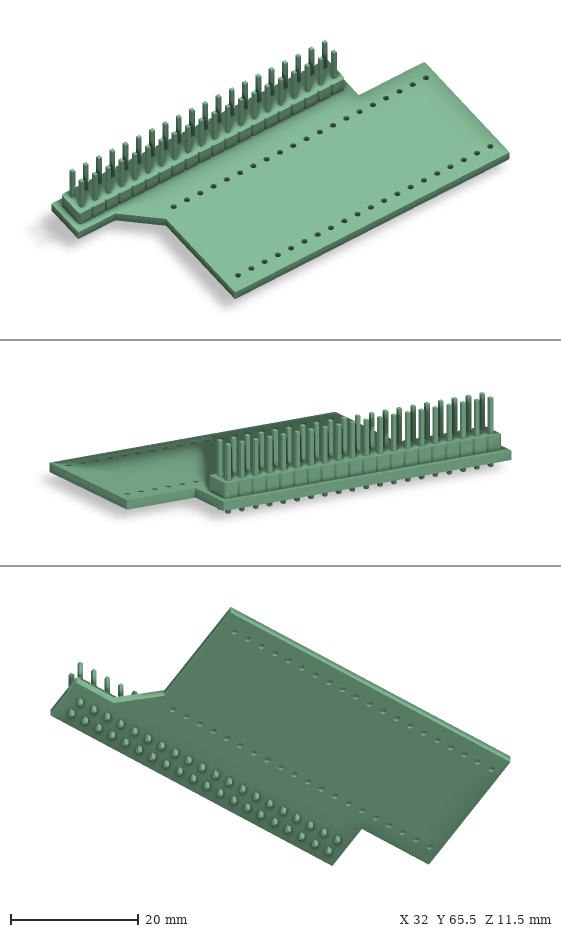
import cadquery as cq

BOARD_WIDTH = 32.0
BOARD_LENGTH = 65.5
BOARD_THICKNESS = 1.6
PANEL_LEFT = 8.5
PANEL_FRONT = 13.0
STRIP_WIDTH = 7.45
STRIP_LENGTH = 52.9
SLOPE_WIDTH = 5.5
SLOPE_LENGTH = 5.9

ROW_COUNT = 20
ROW_SPAN = 48.3
PITCH = ROW_SPAN / (ROW_COUNT - 1)

HOLE_DIAMETER = 1.0
HOLE_COLUMN_COUNT = 2
HOLE_COLUMN_X = 11.45
HOLE_COLUMN_SPACING = 7 * PITCH
FIRST_HOLE_Y = 15.45

COLUMN_COUNT = 2
HEADER_X = STRIP_WIDTH / 2
HEADER_Y = STRIP_LENGTH / 2
HOUSING_HEIGHT = PITCH
CELL_CHAMFER = 0.25
PIN_WIDTH = 0.65
PIN_TIP_CHAMFER = 0.1
PIN_BELOW_BOARD = 1.4
PIN_ABOVE_HOUSING = 6.0
PIN_BOTTOM = -PIN_BELOW_BOARD
PIN_TOP = BOARD_THICKNESS + HOUSING_HEIGHT + PIN_ABOVE_HOUSING


def pin_positions(workplane):
    """Place the work points of the header pins on a workplane."""
    return workplane.center(HEADER_X, HEADER_Y).rarray(PITCH, PITCH, COLUMN_COUNT, ROW_COUNT)


def make_board():
    """Stepped board with round panel holes and square pin holes."""
    outline = [
        (0, 0),
        (STRIP_WIDTH, 0),
        (STRIP_WIDTH, PANEL_FRONT - SLOPE_LENGTH),
        (STRIP_WIDTH + SLOPE_WIDTH, PANEL_FRONT),
        (BOARD_WIDTH, PANEL_FRONT),
        (BOARD_WIDTH, BOARD_LENGTH),
        (PANEL_LEFT, BOARD_LENGTH),
        (PANEL_LEFT, STRIP_LENGTH),
        (0, STRIP_LENGTH),
    ]
    plate = cq.Workplane("XY").polyline(outline).close().extrude(BOARD_THICKNESS)
    panel_holes = (
        cq.Workplane("XY")
        .center(HOLE_COLUMN_X + HOLE_COLUMN_SPACING / 2, FIRST_HOLE_Y + ROW_SPAN / 2)
        .rarray(HOLE_COLUMN_SPACING, PITCH, HOLE_COLUMN_COUNT, ROW_COUNT)
        .circle(HOLE_DIAMETER / 2)
        .extrude(BOARD_THICKNESS)
    )
    pin_holes = (
        pin_positions(cq.Workplane("XY"))
        .rect(PIN_WIDTH, PIN_WIDTH)
        .extrude(BOARD_THICKNESS)
    )
    return plate.cut(panel_holes).cut(pin_holes)


def make_housing():
    """Row of cells with chamfered outer corners, resting on the board."""
    half_width = COLUMN_COUNT * PITCH / 2
    front_y = HEADER_Y - ROW_COUNT * PITCH / 2
    right_side = []
    for row in range(ROW_COUNT):
        cell_front = front_y + row * PITCH
        cell_back = cell_front + PITCH
        right_side += [
            (half_width - CELL_CHAMFER, cell_front),
            (half_width, cell_front + CELL_CHAMFER),
            (half_width, cell_back - CELL_CHAMFER),
        ]
    right_side.append((half_width - CELL_CHAMFER, front_y + ROW_COUNT * PITCH))
    left_side = [(-x, y) for x, y in reversed(right_side)]
    return (
        cq.Workplane("XY", origin=(HEADER_X, 0, BOARD_THICKNESS))
        .polyline(right_side + left_side)
        .close()
        .extrude(HOUSING_HEIGHT)
    )


def make_pins():
    """Square pins with chamfered tips at both ends."""
    return (
        pin_positions(cq.Workplane("XY", origin=(0, 0, PIN_BOTTOM)))
        .rect(PIN_WIDTH, PIN_WIDTH)
        .extrude(PIN_TOP - PIN_BOTTOM)
        .faces("<Z or >Z")
        .chamfer(PIN_TIP_CHAMFER)
    )


def make_header():
    """Housing and its pins as one solid."""
    return make_housing().union(make_pins())


board = make_board()
header = make_header()

result = cq.Compound.makeCompound([*board.solids().vals(), *header.solids().vals()])